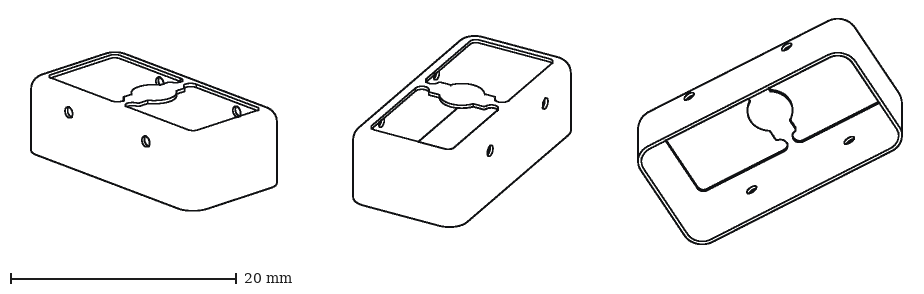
import cadquery as cq

length = 22.0
width = 11.3
height = 7.0
corner_radius = 1.8
top_fillet = 1.19

wall = 0.3
cavity_radius = corner_radius - wall
plate_thickness = 0.3
rim_inset = 1.5
opening_radius = 0.6

disc_diameter = 4.0
strap_width = 2.07
strap_corner_radius = 0.2
neck_width = 0.7
notch_radius = 0.64

hole_diameter = 1.0
hole_spacing = 9.99
hole_depth = 1.8

opening_length = length - 2 * rim_inset
opening_width = width - 2 * rim_inset


def rounded_block(size_x, size_y, size_z, radius):
    """Block standing on Z = 0 with rounded vertical edges."""
    block = cq.Workplane("XY").box(size_x, size_y, size_z, centered=(True, True, False))
    return block.edges("|Z").fillet(radius)


def make_shell():
    """Rounded cap, hollow and open at the bottom, with a thin top plate."""
    outer = rounded_block(length, width, height, corner_radius)
    outer = outer.faces(">Z").edges().fillet(top_fillet)
    cavity_height = height - plate_thickness
    cavity = rounded_block(length - 2 * wall, width - 2 * wall, cavity_height, cavity_radius)
    cavity = cavity.faces(">Z").edges().fillet(top_fillet - wall)
    return outer.cut(cavity)


def make_bridge():
    """Strap with a central disc, narrowed to a neck by round notches at each end."""
    strap = cq.Workplane("XY").box(
        strap_width, opening_width, plate_thickness, centered=(True, True, False)
    )
    notch_x = neck_width / 2 + notch_radius
    notch_y = opening_width / 2 - notch_radius
    notch_centers = [(sx * notch_x, sy * notch_y) for sx in (-1, 1) for sy in (-1, 1)]
    notches = cq.Workplane("XY").pushPoints(notch_centers).circle(notch_radius)
    strap = strap.cut(notches.extrude(plate_thickness))

    reach_y = notch_y - notch_radius / 2
    corner_zone = cq.selectors.BoxSelector(
        (-strap_width, -reach_y, 0), (strap_width, reach_y, plate_thickness)
    )
    strap = strap.edges("|Z").edges(corner_zone).fillet(strap_corner_radius)

    disc = cq.Workplane("XY").circle(disc_diameter / 2).extrude(plate_thickness)
    return strap.union(disc)


opening = rounded_block(opening_length, opening_width, plate_thickness, opening_radius)
opening = opening.cut(make_bridge()).translate((0, 0, height - plate_thickness))

cross_holes = (
    cq.Workplane("XZ")
    .pushPoints([(side * hole_spacing / 2, height - hole_depth) for side in (-1, 1)])
    .circle(hole_diameter / 2)
    .extrude(width / 2, both=True)
)

result = make_shell().cut(opening).cut(cross_holes)